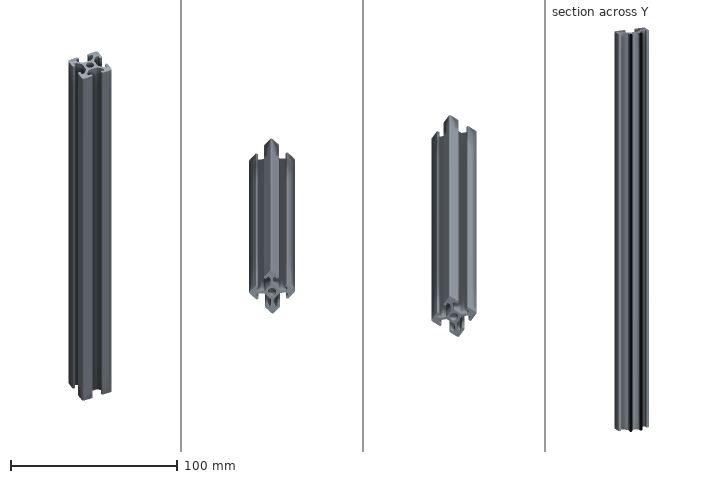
import cadquery as cq
import math

length = 250.0
side = 20.0
corner_radius = 1.0
slot_opening = 6.2
lip_thickness = 1.8
lip_radius = 0.5
cavity_width = 11.0
core_width = 7.8
rib_thickness = 1.5
bore_diameter = 5.0

half_side = side / 2
half_cavity = cavity_width / 2


def square_bar(width):
    """Square bar along Z, centred on the profile axis."""
    return cq.Workplane("XY").rect(width, width).extrude(length)


def corner_block():
    """L-shaped pair of slot lips with rounded ends, joined in the +X +Y corner."""
    lip_end = slot_opening / 2
    lip_inside = half_side - lip_thickness
    outline = [
        (lip_end, half_side),
        (half_side, half_side),
        (half_side, lip_end),
        (lip_inside, lip_end),
        (lip_inside, half_cavity),
        (half_cavity, half_cavity),
        (half_cavity, lip_inside),
        (lip_end, lip_inside),
    ]
    block = cq.Workplane("XY").polyline(outline).close().extrude(length)
    block = block.edges("|Z and (<X or <Y)").fillet(lip_radius)
    outer_corner = cq.selectors.NearestToPointSelector((half_side, half_side, length / 2))
    return block.edges("|Z").edges(outer_corner).fillet(corner_radius)


def diagonal_rib(angle):
    """Web through the axis, ending inside two opposite corner blocks."""
    rib_length = math.sqrt(2) * (half_cavity + half_side)
    rib = cq.Workplane("XY").rect(rib_length, rib_thickness).extrude(length)
    return rib.rotate((0, 0, 0), (0, 0, 1), angle)


result = square_bar(core_width)
for rib_angle in (45, 135):
    result = result.union(diagonal_rib(rib_angle))

for turn in range(4):
    result = result.union(corner_block().rotate((0, 0, 0), (0, 0, 1), 90 * turn))

bore = cq.Workplane("XY").circle(bore_diameter / 2).extrude(length)
result = result.cut(bore)